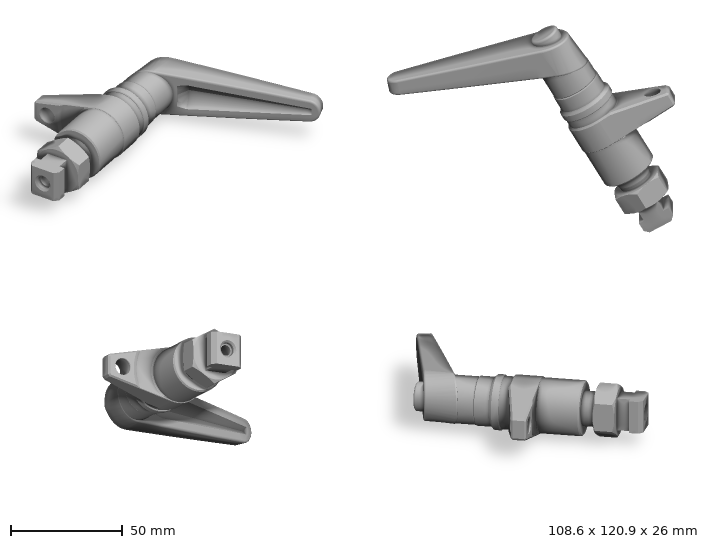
import cadquery as cq
import math

OVERLAP = 0.6

FOOT_WIDTH = 15.1
FOOT_HEIGHT = 15.0
FOOT_NECK_WIDTH = 9.9
FOOT_HEAD_LENGTH = 6.2
FOOT_CHAMFER = 1.9
FOOT_MOUTH_RADIUS = 4.1
FOOT_WIDE_BORE_RADIUS = 3.3
FOOT_NARROW_BORE_RADIUS = 2.4
FOOT_COUNTERSINK_DEPTH = 0.8
FOOT_WIDE_BORE_DEPTH = 2.4
FOOT_NARROW_BORE_DEPTH = 9.7
FOOT_DRILL_TIP = 1.5

NUT_START = 12.1
NUT_END = 22.0
NUT_ACROSS_FLATS = 22.1
NUT_ACROSS_CORNERS = NUT_ACROSS_FLATS / math.cos(math.radians(30))
NUT_CHAMFER_ANGLE = 30

SHAFT_RADIUS = 8.0
SHAFT_END_RADIUS = 7.7
SHAFT_STEP = 23.0
SHAFT_STEP_CHAMFER = 1.0
BODY_START = 28.0
BODY_RADIUS = 12.6
BODY_CHAMFER = 0.6
SLEEVE_START = 60.5
SLEEVE_RADIUS = 12.0
FLANGE_START = 64.9
FLANGE_SHOULDER = 68.2
FLANGE_CHAMFER = 0.4
COLLAR_START = 69.6
COLLAR_END = 76.6
COLLAR_RADIUS = 11.2
COLLAR_CHAMFER = 0.4
STEM_RADIUS = 10.9
STEM_START = 78.6
STEM_END = 96.7

LUG_START = 47.3
LUG_END = 60.9
LUG_DIAMETER = 26.0
LUG_RADIUS = LUG_DIAMETER / 2
LUG_REACH = 35.0
LUG_TIP_HALF_HEIGHT = 5.1
LUG_TIP_END = 54.0
LUG_SLOPE_START = 8.7
LUG_EDGE = 0.8
MIN_UPWARD_TILT = 0.5
LUG_LOWER_EDGE = 0.7
LUG_HOLE_RADIUS = 3.7
LUG_HOLE_DISTANCE = 27.9
LUG_HOLE_CHAMFER = 0.2
RECESS_DEPTH = 0.5
RECESS_INNER_RADIUS = 13.5
RECESS_OUTER_RADIUS = 22.5
RECESS_FLOOR_RADIUS = 20.8

HEAD_RADIUS = 11.5
HEAD_X = 0.8
HEAD_LEAN = 0.08
TIP_RADIUS = 5.7
TIP_X = 68.1
TIP_LEAN = -0.34
HEAD_LEVEL = 84.6
TIP_LEVEL = 114.8
LEVER_LOFT_LEVELS = (75.0, 128.1)
LEVER_UPPER_ANGLE = 15.0
LEVER_UPPER_Y = 101.9
LEVER_LOWER_ANGLE = 20.5
LEVER_LOWER_Y = 87.0
LEVER_EDGE = 1.0
WEDGE_LEFT = -24.2
WEDGE_RIGHT = 84.6
BUTTON_RADIUS = 6.6
BUTTON_START = 94.3
BUTTON_END = 105.2
BUTTON_FILLET = 1.1

GROOVE_START = 13.4
GROOVE_FULL = 17.6
GROOVE_END = 75.0
GROOVE_START_HALF_WIDTH = 5.5
GROOVE_FULL_HALF_WIDTH = 6.4
GROOVE_END_HALF_WIDTH = 1.7
GROOVE_START_DEPTH = 1.2
GROOVE_FULL_DEPTH = 6.0
GROOVE_END_DEPTH = 1.8
GROOVE_BULGE = 0.6


def revolve_profile(points):
    """Revolve (radius, Y) points about the Y axis."""
    return cq.Workplane("XY").polyline(points).close().revolve(360, (0, 0, 0), (0, 1, 0))


def at_level(y):
    """Workplane at a Y level: local x is X, local y is Z."""
    return cq.Workplane("XZ", origin=(0, y, 0))


def tapered_outline(plane, big_x, big_radius, small_x, small_radius):
    """Two circles on the X axis joined by their outer tangent lines."""
    slope = (big_radius - small_radius) / (small_x - big_x)
    rise = math.sqrt(1 - slope**2)
    big_tangent = (big_x + big_radius * slope, big_radius * rise)
    small_tangent = (small_x + small_radius * slope, small_radius * rise)
    return (
        plane.moveTo(*big_tangent)
        .lineTo(*small_tangent)
        .threePointArc((small_x + small_radius, 0), (small_tangent[0], -small_tangent[1]))
        .lineTo(big_tangent[0], -big_tangent[1])
        .threePointArc((big_x - big_radius, 0), big_tangent)
        .close()
    )


def make_foot():
    half_width = FOOT_WIDTH / 2
    half_neck = FOOT_NECK_WIDTH / 2
    half_profile = [
        (half_width - FOOT_CHAMFER, 0),
        (half_width, FOOT_CHAMFER),
        (half_width, FOOT_HEAD_LENGTH),
        (half_neck, FOOT_HEAD_LENGTH),
        (half_neck, NUT_START + OVERLAP),
    ]
    mirrored = [(-x, y) for x, y in reversed(half_profile)]
    return cq.Workplane("XY").polyline(half_profile + mirrored).close().extrude(FOOT_HEIGHT / 2, both=True)


def make_foot_hole():
    """Countersunk, stepped blind bore in the end of the foot."""
    return revolve_profile([
        (0, 0),
        (FOOT_MOUTH_RADIUS, 0),
        (FOOT_WIDE_BORE_RADIUS, FOOT_COUNTERSINK_DEPTH),
        (FOOT_WIDE_BORE_RADIUS, FOOT_WIDE_BORE_DEPTH),
        (FOOT_NARROW_BORE_RADIUS, FOOT_WIDE_BORE_DEPTH),
        (FOOT_NARROW_BORE_RADIUS, FOOT_NARROW_BORE_DEPTH),
        (0, FOOT_NARROW_BORE_DEPTH + FOOT_DRILL_TIP),
    ])


def make_nut():
    hexagon = (
        at_level(NUT_START)
        .transformed(rotate=(0, 0, 90))
        .polygon(6, NUT_ACROSS_CORNERS)
        .extrude(NUT_START - NUT_END)
    )
    corner_radius = NUT_ACROSS_CORNERS / 2
    face_radius = NUT_ACROSS_FLATS / 2
    chamfer_length = (corner_radius - face_radius) * math.tan(math.radians(NUT_CHAMFER_ANGLE))
    rounding = revolve_profile([
        (0, NUT_START),
        (face_radius, NUT_START),
        (corner_radius, NUT_START + chamfer_length),
        (corner_radius, NUT_END - chamfer_length),
        (face_radius, NUT_END),
        (0, NUT_END),
    ])
    return hexagon.intersect(rounding)


def make_spindle():
    return revolve_profile([
        (0, NUT_END - OVERLAP),
        (SHAFT_END_RADIUS, NUT_END - OVERLAP),
        (SHAFT_END_RADIUS, SHAFT_STEP),
        (SHAFT_RADIUS, SHAFT_STEP + SHAFT_STEP_CHAMFER),
        (SHAFT_RADIUS, BODY_START),
        (BODY_RADIUS - BODY_CHAMFER, BODY_START),
        (BODY_RADIUS, BODY_START + BODY_CHAMFER),
        (BODY_RADIUS, SLEEVE_START),
        (SLEEVE_RADIUS, SLEEVE_START),
        (SLEEVE_RADIUS, FLANGE_START),
        (BODY_RADIUS - FLANGE_CHAMFER, FLANGE_START),
        (BODY_RADIUS, FLANGE_START + FLANGE_CHAMFER),
        (BODY_RADIUS, FLANGE_SHOULDER),
        (COLLAR_RADIUS, COLLAR_START),
        (COLLAR_RADIUS, COLLAR_END - COLLAR_CHAMFER),
        (STEM_RADIUS - COLLAR_CHAMFER, COLLAR_END),
        (STEM_RADIUS, COLLAR_END + COLLAR_CHAMFER),
        (STEM_RADIUS, STEM_START),
        (0, STEM_START),
    ])


def lug_upper_edges(lug):
    """Border of the flat and sloped upper faces, without the ridge between them."""
    upper_faces = [face for face in lug.faces().vals() if face.normalAt().y > MIN_UPWARD_TILT]
    edges = [edge for face in upper_faces for edge in face.Edges()]
    return [edge for edge in edges if sum(edge.isSame(other) for other in edges) == 1]


def make_lug():
    tip_distance = math.hypot(LUG_REACH, LUG_TIP_HALF_HEIGHT)
    tangent_angle = (
        math.pi
        - math.atan2(LUG_TIP_HALF_HEIGHT, LUG_REACH)
        - math.acos(LUG_RADIUS / tip_distance)
    )
    tangent_x = LUG_RADIUS * math.cos(tangent_angle)
    tangent_z = LUG_RADIUS * math.sin(tangent_angle)
    lug = (
        at_level(LUG_START)
        .moveTo(-LUG_REACH, LUG_TIP_HALF_HEIGHT)
        .lineTo(tangent_x, tangent_z)
        .threePointArc((LUG_RADIUS, 0), (tangent_x, -tangent_z))
        .lineTo(-LUG_REACH, -LUG_TIP_HALF_HEIGHT)
        .close()
        .extrude(LUG_START - LUG_END)
    )
    side_profile = [
        (-LUG_REACH, LUG_START),
        (LUG_RADIUS, LUG_START),
        (LUG_RADIUS, LUG_END),
        (-LUG_SLOPE_START, LUG_END),
        (-LUG_REACH, LUG_TIP_END),
    ]
    lug = lug.intersect(cq.Workplane("XY").polyline(side_profile).close().extrude(LUG_RADIUS, both=True))
    lug = lug.faces("<X").edges("|Y").chamfer(LUG_EDGE)
    lug = lug.newObject(lug_upper_edges(lug)).chamfer(LUG_EDGE)
    lug = lug.faces("<Y").edges("not %CIRCLE").chamfer(LUG_LOWER_EDGE)
    hole = revolve_profile([
        (0, LUG_START),
        (LUG_HOLE_RADIUS + LUG_HOLE_CHAMFER, LUG_START),
        (LUG_HOLE_RADIUS, LUG_START + LUG_HOLE_CHAMFER),
        (LUG_HOLE_RADIUS, LUG_END),
        (0, LUG_END),
    ]).translate((-LUG_HOLE_DISTANCE, 0, 0))
    recess = revolve_profile([
        (RECESS_INNER_RADIUS, LUG_START),
        (RECESS_OUTER_RADIUS, LUG_START),
        (RECESS_FLOOR_RADIUS, LUG_START + RECESS_DEPTH),
        (BODY_RADIUS, LUG_START + RECESS_DEPTH),
    ])
    return lug.cut(hole).cut(recess)


def lever_wedge(lower_y, upper_y):
    """Space between the two slanted lever faces, given where they cross the spindle axis."""
    corners = []
    for x, y, angle in (
        (WEDGE_LEFT, lower_y, LEVER_LOWER_ANGLE),
        (WEDGE_RIGHT, lower_y, LEVER_LOWER_ANGLE),
        (WEDGE_RIGHT, upper_y, LEVER_UPPER_ANGLE),
        (WEDGE_LEFT, upper_y, LEVER_UPPER_ANGLE),
    ):
        corners.append((x, y + x * math.tan(math.radians(angle))))
    return cq.Workplane("XY").polyline(corners).close().extrude(2 * HEAD_RADIUS, both=True)


def make_stem():
    """Cylinder that carries the lever, cut off just inside the lever's lower face."""
    stem = at_level(STEM_START).circle(STEM_RADIUS).extrude(STEM_START - STEM_END)
    return stem.cut(lever_wedge(LEVER_LOWER_Y + OVERLAP, LEVER_UPPER_Y))


def make_lever():
    levels = []
    for y in LEVER_LOFT_LEVELS:
        head_x = HEAD_X + HEAD_LEAN * (y - HEAD_LEVEL)
        tip_x = TIP_X + TIP_LEAN * (y - TIP_LEVEL)
        outline = tapered_outline(at_level(y), head_x, HEAD_RADIUS, tip_x, TIP_RADIUS)
        levels.append(outline.wires().val())
    blank = cq.Workplane(cq.Solid.makeLoft(levels, True))
    lever = blank.intersect(lever_wedge(LEVER_LOWER_Y, LEVER_UPPER_Y))
    return lever.faces("%PLANE").edges().fillet(LEVER_EDGE)


def make_groove():
    """Pointed trough along the lower lever face, sunk towards the upper face."""
    angle = math.radians(LEVER_LOWER_ANGLE)
    along = cq.Vector(math.cos(angle), math.sin(angle), 0)
    sections = []
    for distance, half_width, depth in (
        (GROOVE_START, GROOVE_START_HALF_WIDTH, GROOVE_START_DEPTH),
        (GROOVE_FULL, GROOVE_FULL_HALF_WIDTH, GROOVE_FULL_DEPTH),
        (GROOVE_END, GROOVE_END_HALF_WIDTH, GROOVE_END_DEPTH),
    ):
        origin = cq.Vector(0, LEVER_LOWER_Y, 0) + along * distance
        bulge_width = GROOVE_BULGE * half_width
        bulge_depth = GROOVE_BULGE * depth
        section = (
            cq.Workplane(cq.Plane(origin=origin, xDir=(0, 0, 1), normal=along * -1))
            .moveTo(-half_width, 0)
            .threePointArc((-bulge_width, bulge_depth), (0, depth))
            .threePointArc((bulge_width, bulge_depth), (half_width, 0))
            .close()
        )
        sections.append(section.wires().val())
    return cq.Workplane(cq.Solid.makeLoft(sections, True))


def make_button():
    button = at_level(BUTTON_START).circle(BUTTON_RADIUS).extrude(BUTTON_START - BUTTON_END)
    return button.faces(">Y").edges().fillet(BUTTON_FILLET)


result = (
    make_foot()
    .union(make_nut())
    .union(make_spindle())
    .union(make_lug())
    .union(make_stem())
    .union(make_lever().cut(make_groove()))
    .union(make_button())
    .cut(make_foot_hole())
)